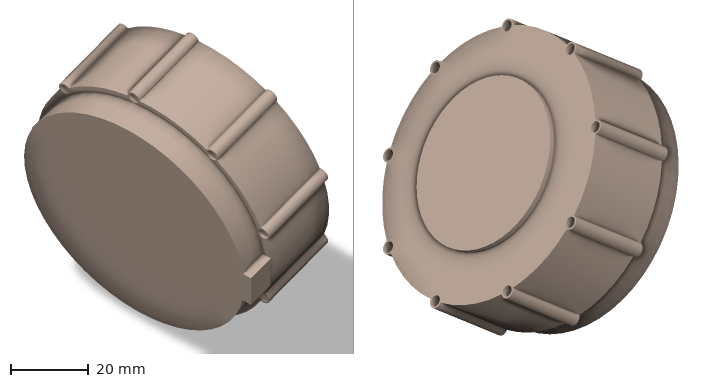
import cadquery as cq

cover_diameter = 71.15
cover_thickness = 8.4
tab_width = 10.75
tab_reach = 37.75
tab_center_height = -0.6

housing_diameter = 75.1
housing_length = 25.1
rear_rim_diameter = 47.0
rear_rim_length = 2.0

screw_post_count = 9
screw_post_diameter = 4.0
screw_hole_diameter = 3.0
screw_circle_radius = 37.5
first_post_angle = 180.0

housing_front = cover_thickness
housing_rear = housing_front + housing_length


def cylinder_along_y(diameter, start, length):
    """Cylinder on the shared axis, running toward +Y from y = start."""
    return cq.Workplane("XZ", origin=(0, start, 0)).circle(diameter / 2).extrude(-length)


def screw_cylinders(diameter):
    """One cylinder at each screw position, as long as the main housing."""
    return (
        cq.Workplane("XZ", origin=(0, housing_front, 0))
        .polarArray(screw_circle_radius, first_post_angle, 360, screw_post_count)
        .circle(diameter / 2)
        .extrude(-housing_length)
    )


def make_housing():
    """Round housing with a rear rim and tubular screw posts around its wall."""
    drum = cylinder_along_y(housing_diameter, housing_front, housing_length)
    rear_rim = cylinder_along_y(rear_rim_diameter, housing_rear, rear_rim_length)
    posts = screw_cylinders(screw_post_diameter)
    holes = screw_cylinders(screw_hole_diameter)
    return drum.union(rear_rim).union(posts).cut(holes)


def make_cover():
    """Round front cover with a rectangular tab on its +X side."""
    disc = cylinder_along_y(cover_diameter, 0, cover_thickness)
    tab = cq.Workplane("XY", origin=(0, 0, tab_center_height)).box(
        tab_reach, cover_thickness, tab_width, centered=(False, False, True)
    )
    return disc.union(tab)


housing = make_housing()
cover = make_cover()

result = cq.Compound.makeCompound([housing.val(), cover.val()])